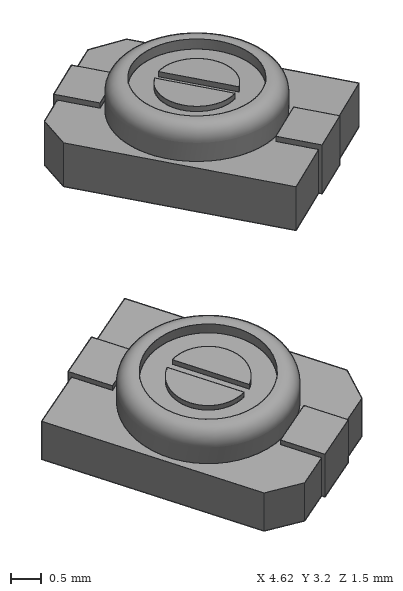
import cadquery as cq

overall_length = 4.62
overall_height = 1.5

base_length = 4.5
base_width = 3.2
base_height = 0.86
corner_chamfer = 0.5

terminal_length = 0.8
terminal_width = 0.9
terminal_height = 0.96

housing_diameter = 3.0
housing_fillet = 0.28
recess_diameter = 2.25
recess_depth = 0.2
rotor_diameter = 1.4
rotor_height = 0.1
slot_width = 0.2

recess_floor = overall_height - recess_depth


def make_base():
    """Block with its two -X vertical corners cut off."""
    block = cq.Workplane("XY").box(base_length, base_width, base_height, centered=(True, True, False))
    return block.edges("|Z and <X").chamfer(corner_chamfer)


def make_terminal(side):
    """Full-height contact block at the -X (side = -1) or +X (side = 1) end."""
    center_x = side * (overall_length - terminal_length) / 2
    return (
        cq.Workplane("XY")
        .center(center_x, 0)
        .box(terminal_length, terminal_width, terminal_height, centered=(True, True, False))
    )


def make_housing():
    """Cylinder with a rounded top rim and a shallow round recess."""
    cylinder = cq.Workplane("XY").circle(housing_diameter / 2).extrude(overall_height)
    rounded = cylinder.faces(">Z").edges().fillet(housing_fillet)
    recess = cq.Workplane("XY").workplane(offset=recess_floor).circle(recess_diameter / 2).extrude(recess_depth)
    return rounded.cut(recess)


def make_rotor():
    """Raised disc on the recess floor, split by a slot along X."""
    floor = cq.Workplane("XY").workplane(offset=recess_floor)
    disc = floor.circle(rotor_diameter / 2).extrude(rotor_height)
    slot = floor.rect(rotor_diameter, slot_width).extrude(rotor_height)
    return disc.cut(slot)


result = make_base()
for end in (-1, 1):
    result = result.union(make_terminal(end))
result = result.union(make_housing()).union(make_rotor())